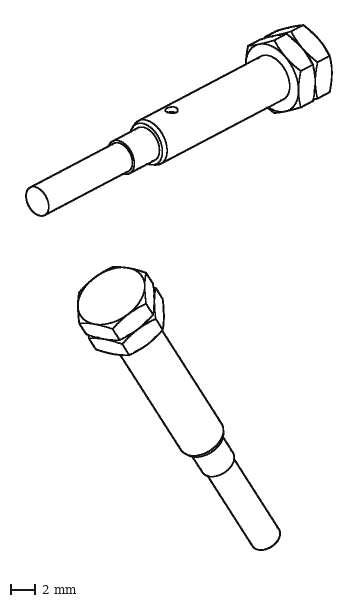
import cadquery as cq
import math

total_length = 32.0
sleeve_length = 3.0
body_length = 15.0
head_length = 4.0
nut_count = 2
nut_thickness = head_length / nut_count

pin_diameter = 2.6
sleeve_diameter = 3.0
body_diameter = 4.0

bevel_length = 0.4
bevel_depth = 0.15

across_flats = 1.5 * body_diameter
across_corners = across_flats / math.cos(math.radians(30))
nut_chamfer_angle = 30.0

hole_diameter = 1.02
hole_setback = 3.0

pin_tip = -total_length / 2
nuts_back = total_length / 2
nuts_front = nuts_back - head_length
body_front = nuts_front - body_length
sleeve_front = body_front - sleeve_length


def make_shaft():
    """Pin, sleeve and bevelled body revolved about the Y axis."""
    body_radius = body_diameter / 2
    return (
        cq.Workplane("XY")
        .moveTo(0, pin_tip)
        .lineTo(pin_diameter / 2, pin_tip)
        .lineTo(pin_diameter / 2, sleeve_front)
        .lineTo(sleeve_diameter / 2, sleeve_front)
        .lineTo(sleeve_diameter / 2, body_front)
        .lineTo(body_radius - bevel_depth, body_front)
        .lineTo(body_radius, body_front + bevel_length)
        .lineTo(body_radius, nuts_back)
        .lineTo(0, nuts_back)
        .close()
        .revolve(360, (0, 0), (0, 1))
    )


def make_nut(front):
    """Hexagon with corners on Z, its corners bevelled conically at both ends."""
    back = front + nut_thickness
    face_radius = across_flats / 2
    corner_radius = across_corners / 2
    chamfer_length = (corner_radius - face_radius) * math.tan(math.radians(nut_chamfer_angle))
    hexagon = (
        cq.Workplane("XZ", origin=(0, front, 0))
        .transformed(rotate=(0, 0, 90))
        .polygon(6, across_corners)
        .extrude(-nut_thickness)
    )
    envelope = (
        cq.Workplane("XY")
        .moveTo(0, front)
        .lineTo(face_radius, front)
        .lineTo(corner_radius, front + chamfer_length)
        .lineTo(corner_radius, back - chamfer_length)
        .lineTo(face_radius, back)
        .lineTo(0, back)
        .close()
        .revolve(360, (0, 0), (0, 1))
    )
    return hexagon.intersect(envelope)


def make_hole():
    """Flat-bottomed hole cutter running down to the sleeve radius."""
    hole_floor = sleeve_diameter / 2
    return (
        cq.Workplane("XY", origin=(0, body_front + hole_setback, hole_floor))
        .circle(hole_diameter / 2)
        .extrude(body_diameter / 2)
    )


result = make_shaft().cut(make_hole())
for index in range(nut_count):
    result = result.union(make_nut(nuts_front + index * nut_thickness))